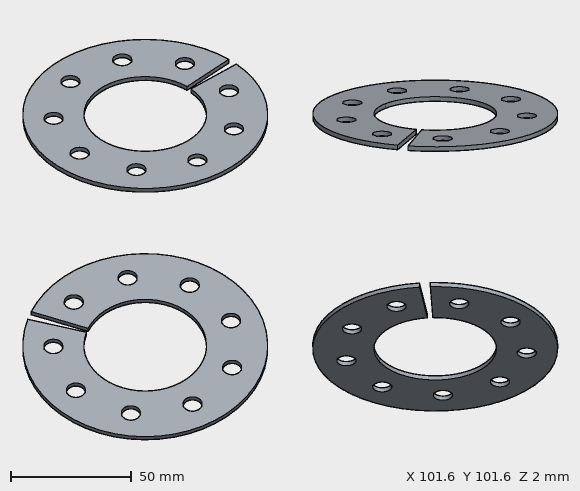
import cadquery as cq
import math

outer_diameter = 101.6
inner_diameter = outer_diameter / 2
thickness = 2.0

hole_count = 9
hole_diameter = 7.9
hole_circle_radius = (outer_diameter + inner_diameter) / 4
first_hole_angle = 90.0
hole_pitch_angle = 360.0 / hole_count

split_angle = first_hole_angle + hole_pitch_angle / 2
split_width_angle = 5.0
split_reach = outer_diameter


def polar_point(radius, angle):
    """Point at a radius and an angle in degrees from +X."""
    return (radius * math.cos(math.radians(angle)), radius * math.sin(math.radians(angle)))


def make_ring():
    return (
        cq.Workplane("XY")
        .circle(outer_diameter / 2)
        .circle(inner_diameter / 2)
        .extrude(thickness)
    )


def make_holes():
    return (
        cq.Workplane("XY")
        .polarArray(hole_circle_radius, first_hole_angle, 360, hole_count)
        .circle(hole_diameter / 2)
        .extrude(thickness)
    )


def make_split():
    side_angles = (split_angle - split_width_angle / 2, split_angle + split_width_angle / 2)
    corners = [polar_point(split_reach, angle) for angle in side_angles]
    return cq.Workplane("XY").polyline([(0, 0)] + corners).close().extrude(thickness)


result = make_ring().cut(make_holes()).cut(make_split())